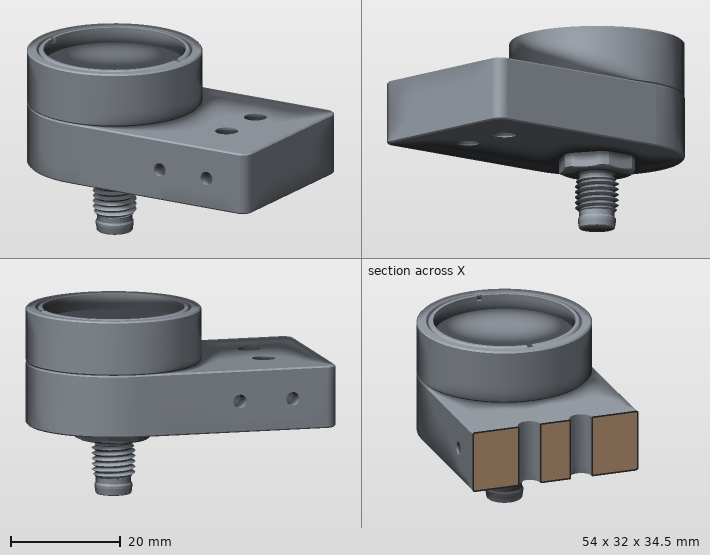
import cadquery as cq
import math

overall_length = 54.0
head_radius = 32.0 / 2
plate_thickness = 11.5
corner_radius = 2.0
edge_chamfer = 0.25
plate_end_x = overall_length - head_radius

hole_spacing = 10.0
mount_hole_diameter = 4.2
mount_hole_x = 27.0
side_hole_diameter = 2.5
side_hole_middle_x = 24.45
side_hole_z = plate_thickness / 2
side_hole_depth = 4.3
drill_tip_angle = 118.0

head_height = 10.0
head_top_z = plate_thickness + head_height
rim_inner_radius = 14.3
groove_radius = 14.0
groove_depth = rim_inner_radius - groove_radius
bezel_outer_radius = 13.55
window_radius = 26.0 / 2
window_depth = 2.8
notch_width = 1.0
notch_depth = 1.0

nut_height = 2.8
nut_across_flats = 12.95
nut_corner_radius = 7.1
nut_face_radius = 6.25
nut_bevel_height = 0.4

connector_length = 13.0
neck_radius = 3.25
flare_radius = 3.5
flare_end_depth = 3.3
thread_start_depth = 3.7
thread_end_depth = 9.95
thread_crest_radius = 4.0
thread_angle = 60.0
thread_root_sink = 0.05
first_crest_depth = 3.1
helix_turns = 8
helix_height = 8.0
thread_pitch = helix_height / helix_turns
collar_radius = 6.9 / 2
collar_ramp_depth = 10.85
collar_top_depth = 11.25
collar_bottom_depth = 11.7
tip_radius = 3.3
tip_chamfer = 0.15


def make_plate():
    rounded_end = cq.Workplane("XY").circle(head_radius).extrude(plate_thickness)
    block = (
        cq.Workplane("XY")
        .box(plate_end_x, 2 * head_radius, plate_thickness, centered=(False, True, False))
        .edges("|Z and >X")
        .fillet(corner_radius)
    )
    plate = rounded_end.union(block).faces("<Z or >Z").edges().chamfer(edge_chamfer)
    mount_holes = (
        cq.Workplane("XY")
        .pushPoints([(mount_hole_x, side * hole_spacing / 2) for side in (-1, 1)])
        .circle(mount_hole_diameter / 2)
        .extrude(plate_thickness)
    )
    plate = plate.cut(mount_holes)
    for side in (-1, 1):
        plate = plate.cut(make_side_hole(side_hole_middle_x + side * hole_spacing / 2))
    return plate


def make_side_hole(x):
    """Blind drilled hole entering the plate from its -Y side."""
    radius = side_hole_diameter / 2
    tip_length = radius / math.tan(math.radians(drill_tip_angle / 2))
    profile = cq.Workplane("XY").polyline(
        [(0, 0), (radius, 0), (radius, side_hole_depth), (0, side_hole_depth + tip_length)]
    )
    drill = profile.close().revolve(360, (0, 0, 0), (0, 1, 0))
    return drill.translate((x, -head_radius, side_hole_z))


def make_head():
    groove_z = head_top_z - groove_depth
    floor_z = head_top_z - window_depth
    profile = cq.Workplane("XZ").polyline(
        [
            (0, plate_thickness),
            (head_radius - edge_chamfer, plate_thickness),
            (head_radius, plate_thickness + edge_chamfer),
            (head_radius, head_top_z - edge_chamfer),
            (head_radius - edge_chamfer, head_top_z),
            (rim_inner_radius, head_top_z),
            (groove_radius, groove_z),
            (bezel_outer_radius, head_top_z),
            (window_radius, head_top_z),
            (window_radius, floor_z),
            (0, floor_z),
        ]
    )
    head = profile.close().revolve(360, (0, 0, 0), (0, 1, 0))
    notches = (
        cq.Workplane("XY")
        .workplane(offset=head_top_z - notch_depth)
        .rect(2 * groove_radius, notch_width)
        .extrude(notch_depth)
    )
    return head.cut(notches)


def make_nut():
    across_corners = nut_across_flats / math.cos(math.pi / 6)
    hexagon = cq.Workplane("XY").polygon(6, across_corners).extrude(-nut_height)
    profile = cq.Workplane("XZ").polyline(
        [
            (0, 0),
            (nut_corner_radius, 0),
            (nut_corner_radius, nut_bevel_height - nut_height),
            (nut_face_radius, -nut_height),
            (0, -nut_height),
        ]
    )
    envelope = profile.close().revolve(360, (0, 0, 0), (0, 1, 0))
    return hexagon.intersect(envelope)


def make_connector():
    profile = cq.Workplane("XZ").polyline(
        [
            (0, 0),
            (flare_radius, 0),
            (flare_radius, -nut_height),
            (neck_radius, -flare_end_depth),
            (neck_radius, -collar_ramp_depth),
            (collar_radius, -collar_top_depth),
            (collar_radius, -collar_bottom_depth),
            (tip_radius, -connector_length + tip_chamfer),
            (tip_radius - tip_chamfer, -connector_length),
            (0, -connector_length),
        ]
    )
    core = profile.close().revolve(360, (0, 0, 0), (0, 1, 0))
    return core.union(make_thread())


def make_thread():
    """Right-handed V ridge, sunk slightly into the neck and bevelled at both ends."""
    base_radius = neck_radius - thread_root_sink
    base_half_width = (thread_crest_radius - base_radius) * math.tan(math.radians(thread_angle / 2))
    helix = cq.Wire.makeHelix(thread_pitch, helix_height, base_radius)
    profile = cq.Workplane("XZ").polyline(
        [
            (base_radius, -base_half_width),
            (thread_crest_radius, 0),
            (base_radius, base_half_width),
        ]
    )
    ridge = profile.close().sweep(cq.Workplane(helix), isFrenet=True)
    ridge = ridge.translate((0, 0, -first_crest_depth - helix_height))
    envelope = (
        cq.Workplane("XY")
        .workplane(offset=-thread_end_depth)
        .circle(thread_crest_radius + thread_root_sink)
        .extrude(thread_end_depth - thread_start_depth)
        .edges()
        .chamfer(thread_crest_radius + thread_root_sink - neck_radius)
    )
    return ridge.intersect(envelope)


result = make_plate().union(make_head()).union(make_nut()).union(make_connector())